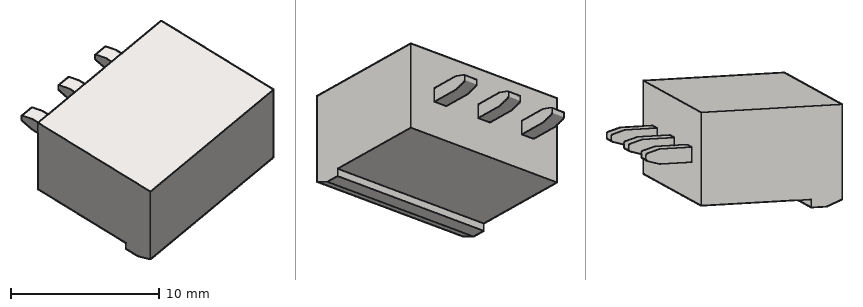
import cadquery as cq

overall_length = 13.25
housing_length = 10.0
housing_width = 12.75
overall_height = 6.95

lip_height = 0.55
lip_length = 2.2
lip_ramp_length = 1.11
lip_ramp_height = 0.44

pin_count = 3
pin_pitch = 3.8
pin_center_z = 3.15
pin_size = 1.03
pin_taper_length = 0.97
pin_tip_height = 0.48
pin_tip_radius = 0.16

housing_height = overall_height - lip_height
pin_length = overall_length - housing_length


def make_housing():
    """Solid block with a ramped lip hanging below its +X end."""
    lip_start_x = housing_length - lip_length
    return (
        cq.Workplane("XZ")
        .moveTo(0, 0)
        .lineTo(lip_start_x, 0)
        .lineTo(lip_start_x, -lip_height)
        .lineTo(housing_length - lip_ramp_length, -lip_height)
        .lineTo(housing_length, lip_ramp_height - lip_height)
        .lineTo(housing_length, housing_height)
        .lineTo(0, housing_height)
        .close()
        .extrude(housing_width / 2, both=True)
    )


def make_pin(center_y):
    """Square pin, tapered above and below towards a rounded tip."""
    taper_start_x = pin_taper_length - pin_length
    half_size = pin_size / 2
    half_tip = pin_tip_height / 2
    return (
        cq.Workplane("XZ", origin=(0, center_y, pin_center_z))
        .moveTo(0, -half_size)
        .lineTo(0, half_size)
        .lineTo(taper_start_x, half_size)
        .lineTo(-pin_length, half_tip)
        .lineTo(-pin_length, -half_tip)
        .lineTo(taper_start_x, -half_size)
        .close()
        .extrude(half_size, both=True)
        .faces("<X")
        .edges("|Y")
        .fillet(pin_tip_radius)
    )


result = make_housing()
for index in range(pin_count):
    offset_from_middle = index - (pin_count - 1) / 2
    result = result.union(make_pin(offset_from_middle * pin_pitch))